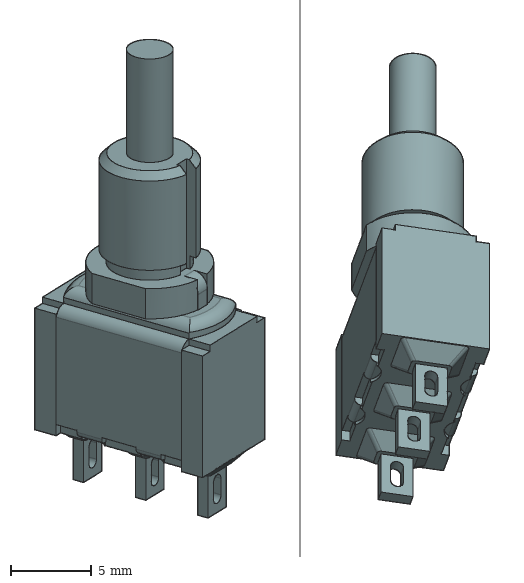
import cadquery as cq
foot_bottom = 3.03
case_bottom = 4.05
cover_bottom = 4.8
ledge_height = 12.4
cover_shoulder = 12.2
case_top = 12.85
nut_bottom = 13.85
nut_top = 15.93
bushing_bottom = 16.8
bushing_top = 23.45
lever_top = 30.57

case_length = 12.7
case_width = 6.9
cover_length = 9.48
ledge_width = 0.85
cover_width = 6.85
cover_radius = 0.85
underside_setback = 0.52

dome_length = 10.9
dome_width = case_width - 2 * ledge_width
dome_radius = 0.95
dome_overhang = 0.05

nut_diameter = 8.0
neck_diameter = 5.47
bushing_diameter = 6.35
bushing_chamfer = 0.5
lever_diameter = 2.95

key_width = 1.05
keyway_floor_x = 2.4
key_end_x = nut_diameter / 2
key_round = 1.0

terminal_pitch = 4.7
terminal_thickness = 0.8
terminal_width = 2.05
eyelet_width = 0.83
eyelet_length = 1.95
eyelet_center = 1.62
foot_length = 3.12
foot_width = 4.37
foot_corner = 0.25
foot_bottom_length = 1.35

notch_spacing = 4.45
notch_top_length = 1.93
notch_bottom_length = 1.75
notch_top = 4.68
notch_round = 0.4
notch_hollow = 0.45
notch_positions = (-notch_spacing / 2, notch_spacing / 2)


def box(x_size, y_size, z_low, z_high):
    """Box centred on the Z axis between two heights."""
    return cq.Workplane("XY").workplane(offset=z_low).rect(x_size, y_size).extrude(z_high - z_low)


def cylinder(diameter, z_low, z_high):
    """Cylinder on the Z axis between two heights."""
    return cq.Workplane("XY").workplane(offset=z_low).circle(diameter / 2).extrude(z_high - z_low)


def make_cover():
    """Cover section with both upper edges rounded in to the foot of the dome."""
    y_face = cover_width / 2
    y_top = dome_width / 2
    return (
        cq.Workplane("YZ")
        .moveTo(-y_face, cover_bottom)
        .lineTo(-y_face, cover_shoulder)
        .radiusArc((-y_top, case_top), cover_radius)
        .lineTo(y_top, case_top)
        .radiusArc((y_face, cover_shoulder), cover_radius)
        .lineTo(y_face, cover_bottom)
        .close()
        .extrude(cover_length / 2, both=True)
    )


def make_case():
    blocks = box(case_length, case_width, case_bottom, ledge_height)
    blocks = blocks.union(box(case_length, dome_width, ledge_height, case_top))
    core = box(cover_length, cover_width, case_bottom, cover_bottom)
    case = blocks.cut(box(cover_length, case_width, case_bottom, case_top)).union(core).union(make_cover())
    underside = box(cover_length, underside_setback, case_bottom, cover_bottom)
    underside = underside.translate((0, (underside_setback - case_width) / 2, 0))
    for x in notch_positions:
        underside = underside.cut(notch_prism(x, cover_bottom))
    case = case.cut(underside).cut(underside.mirror("XZ"))
    for x in notch_positions:
        notch = make_notch(x)
        case = case.cut(notch).cut(notch.mirror("XZ"))
    return case


def notch_prism(x, z_high):
    """Prism through the -Y half of the case with the sloping sides of one notch."""
    return (
        cq.Workplane("XZ")
        .moveTo(x - notch_bottom_length / 2, case_bottom)
        .lineTo(x - notch_top_length / 2, z_high)
        .lineTo(x + notch_top_length / 2, z_high)
        .lineTo(x + notch_bottom_length / 2, case_bottom)
        .close()
        .extrude(case_width / 2)
    )


def make_notch(x):
    """Cutter for one notch on the -Y side: a rounded lip above a hollow wall."""
    front = -cover_width / 2
    back = front + notch_round
    lip = (
        cq.Workplane("YZ")
        .moveTo(front, case_bottom)
        .lineTo(front, notch_top)
        .radiusArc((back, notch_top - notch_round), -notch_round)
        .lineTo(back, case_bottom)
        .close()
        .extrude(case_length / 2, both=True)
    )
    hollow = (
        cq.Workplane("XY")
        .workplane(offset=case_bottom)
        .moveTo(x - notch_bottom_length / 2, back)
        .threePointArc((x, back + notch_hollow), (x + notch_bottom_length / 2, back))
        .close()
        .extrude(notch_top - notch_round - case_bottom)
    )
    return lip.intersect(notch_prism(x, notch_top)).union(hollow)


def dome_prism(growth, z_high):
    """Dome outline with bowed ends, widened by growth all round."""
    x_corner = cover_length / 2 + growth
    y_corner = dome_width / 2 + growth
    x_end = dome_length / 2 + growth
    return (
        cq.Workplane("XY")
        .workplane(offset=ledge_height)
        .moveTo(-x_corner, -y_corner)
        .lineTo(x_corner, -y_corner)
        .threePointArc((x_end, 0), (x_corner, y_corner))
        .lineTo(-x_corner, y_corner)
        .threePointArc((-x_end, 0), (-x_corner, -y_corner))
        .close()
        .extrude(z_high - ledge_height)
    )


def make_dome():
    """Rounded cap trimmed by the upright wall of its own base."""
    cap = dome_prism(dome_overhang, nut_bottom).faces(">Z").edges().fillet(dome_radius)
    return cap.intersect(dome_prism(0, nut_bottom))


def make_bushing():
    nut = cylinder(nut_diameter, nut_bottom, nut_top)
    nut = nut.intersect(box(nut_diameter, case_width, nut_bottom, nut_top))
    neck = cylinder(neck_diameter, nut_top, bushing_bottom)
    bushing = cylinder(bushing_diameter, bushing_bottom, bushing_top)
    bushing = bushing.faces(">Z").chamfer(bushing_chamfer)
    return nut.union(neck).union(bushing)


def make_keyway():
    """Cutter along the +X side of the nut, neck and bushing."""
    length = nut_diameter / 2
    slot = box(length, key_width, nut_bottom, bushing_top)
    return slot.translate((keyway_floor_x + length / 2, 0, 0))


def make_key():
    length = key_end_x - keyway_floor_x
    key = box(length, key_width, nut_bottom, nut_top)
    key = key.edges("|Y and >X and >Z").fillet(key_round)
    return key.translate((keyway_floor_x + length / 2, 0, 0))


def make_terminal():
    """Tapered foot with a flat terminal and an eyelet, at x = 0."""
    height = case_bottom - foot_bottom
    shrink = foot_length - foot_bottom_length
    lower = cq.Sketch().rect(foot_bottom_length, foot_width - shrink).vertices().fillet(foot_corner)
    upper = cq.Sketch().rect(foot_length, foot_width).vertices().fillet(foot_corner)
    upper = upper.moved(cq.Location(cq.Vector(0, 0, height)))
    foot = cq.Workplane("XY").workplane(offset=foot_bottom).placeSketch(lower, upper).loft()
    blade = box(terminal_thickness, terminal_width, 0, case_bottom)
    eyelet = (
        cq.Workplane("YZ")
        .center(0, eyelet_center)
        .slot2D(eyelet_length, eyelet_width, 90)
        .extrude(terminal_thickness, both=True)
    )
    return foot.union(blade).cut(eyelet)


result = make_case().union(make_dome())
result = result.union(make_bushing().cut(make_keyway()))
result = result.union(make_key())
result = result.union(cylinder(lever_diameter, nut_top, lever_top))
for x in (-terminal_pitch, 0, terminal_pitch):
    result = result.union(make_terminal().translate((x, 0, 0)))